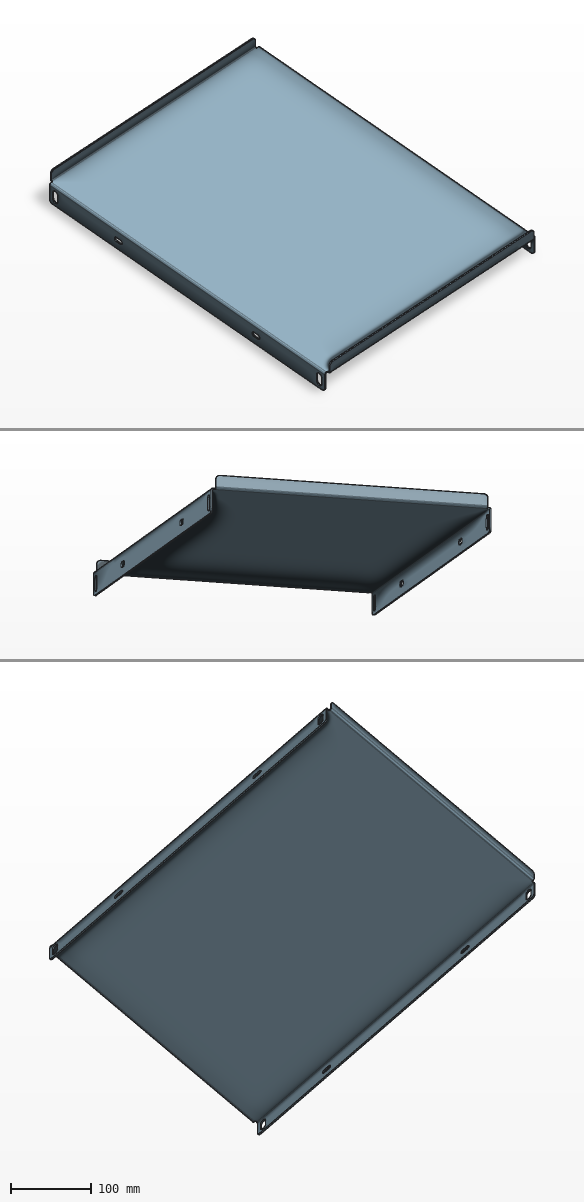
import cadquery as cq

length = 498.0
width = 365.0
height = 47.5
thickness = 2.0

side_flange_height = 16.0
side_flange_inset = 5.5
side_bend_radius = 3.0
side_corner_radius = 5.0

mount_flange_inset = 4.0
mount_bend_radius = 3.0
mount_corner_radius = 5.0

slot_height = 14.5
end_slot_spacing = 470.0
end_slot_length = 20.0
end_slot_width = 9.0
inner_slot_spacing = 245.0
inner_slot_length = 14.0
inner_slot_width = 7.0

panel_top = height - side_flange_height
panel_bottom = panel_top - thickness
mount_length = length - 2 * mount_flange_inset
side_flange_length = width - 2 * side_flange_inset


def make_channel(span, depth, run, bend_radius):
    """Folded channel opening downward, with its web on top, centred along Y."""
    outer = cq.Workplane("XZ").rect(span, 2 * depth).extrude(run / 2, both=True)
    outer = outer.edges("|Y and >Z").fillet(bend_radius)
    inner = (
        cq.Workplane("XZ")
        .rect(span - 2 * thickness, 2 * (depth - thickness))
        .extrude(run / 2, both=True)
        .edges("|Y and >Z")
        .fillet(bend_radius - thickness)
    )
    upper_half = cq.Workplane("XY").box(span, run, depth, centered=(True, True, False))
    return outer.cut(inner).intersect(upper_half)


def make_mount_channel():
    """Panel with its two downturned, rounded mounting flanges."""
    channel = make_channel(width, panel_top, mount_length, mount_bend_radius)
    channel = channel.rotate((0, 0, 0), (0, 0, 1), 90)
    return channel.edges("|Y and <Z and (<X or >X)").fillet(mount_corner_radius)


def make_side_channel():
    """Panel with its two upturned, rounded side flanges."""
    depth = height - panel_bottom
    channel = make_channel(length, depth, side_flange_length, side_bend_radius)
    channel = channel.rotate((0, 0, 0), (0, 1, 0), 180).translate((0, 0, height))
    return channel.edges("|X and >Z and (<Y or >Y)").fillet(side_corner_radius)


def make_slots(spacing, slot_length, slot_width, angle):
    """Pair of slot cutters passing through both mounting flanges."""
    return (
        cq.Workplane("XZ")
        .pushPoints([(-spacing / 2, slot_height), (spacing / 2, slot_height)])
        .slot2D(slot_length, slot_width, angle)
        .extrude(width, both=True)
    )


end_slots = make_slots(end_slot_spacing, end_slot_length, end_slot_width, 90)
inner_slots = make_slots(inner_slot_spacing, inner_slot_length, inner_slot_width, 0)

result = make_mount_channel().union(make_side_channel()).cut(end_slots).cut(inner_slots)